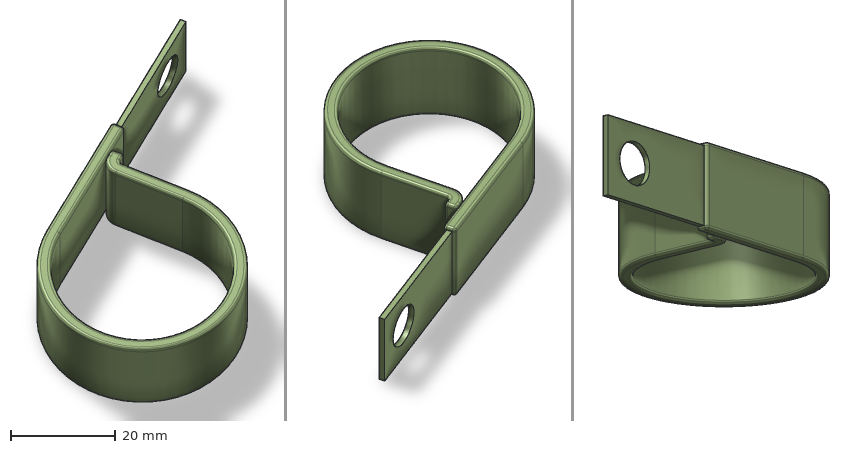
import cadquery as cq

strap_thickness = 1.2
strap_width = 16.0
overall_length = 76.57
hole_diameter = 8.7
hole_center_to_tab_end = 7.9

cushion_wall = 0.75
cushion_thickness = strap_thickness + 2 * cushion_wall
cushion_width = 17.4
cushion_edge_radius = 0.7

loop_outer_radius = 20.23
loop_inner_radius = loop_outer_radius - cushion_thickness
loop_middle_radius = (loop_outer_radius + loop_inner_radius) / 2

leg_length = 28.2
tab_end_y = overall_length - loop_outer_radius

hook_back_x = -loop_inner_radius
hook_front_x = hook_back_x + cushion_thickness
hook_outer_radius = 3.2
hook_inner_radius = hook_outer_radius - cushion_thickness
hook_center_x = hook_back_x + hook_outer_radius
hook_center_y = loop_inner_radius + hook_outer_radius
hook_end_y = 22.4

joint_edges = cq.selectors.BoxSelector(
    (-loop_outer_radius - cushion_wall, -cushion_wall, -cushion_width),
    (-loop_inner_radius + cushion_wall, cushion_wall, cushion_width),
)
free_edges = cq.selectors.InverseSelector(joint_edges)


def round_cushion(piece):
    """Round the side edges and the +Y end, leaving the joint face sharp."""
    return piece.faces("|Z or >Y").edges(free_edges).fillet(cushion_edge_radius)


def make_leg():
    """Straight cushioned leg from the loop to the bare tab."""
    leg = cq.Workplane("XY").box(cushion_thickness, leg_length, cushion_width)
    return round_cushion(leg.translate((-loop_middle_radius, leg_length / 2, 0)))


def make_loop():
    """Three-quarter loop, straight run tangent to it and upturned hook."""
    loop = (
        cq.Workplane("XY")
        .workplane(offset=-cushion_width / 2)
        .moveTo(-loop_outer_radius, 0)
        .threePointArc((0, -loop_outer_radius), (loop_outer_radius, 0))
        .radiusArc((0, loop_outer_radius), -loop_outer_radius)
        .lineTo(hook_center_x, loop_outer_radius)
        .radiusArc((hook_front_x, hook_center_y), hook_inner_radius)
        .lineTo(hook_front_x, hook_end_y)
        .lineTo(hook_back_x, hook_end_y)
        .lineTo(hook_back_x, hook_center_y)
        .radiusArc((hook_center_x, loop_inner_radius), -hook_outer_radius)
        .lineTo(0, loop_inner_radius)
        .radiusArc((loop_inner_radius, 0), loop_inner_radius)
        .threePointArc((0, -loop_inner_radius), (-loop_inner_radius, 0))
        .close()
        .extrude(cushion_width)
    )
    return round_cushion(loop)


def make_tab():
    """Bare strap with its mounting hole, running inside the leg up to the loop."""
    tab = cq.Workplane("XY").box(strap_thickness, tab_end_y, strap_width)
    tab = tab.translate((-loop_middle_radius, tab_end_y / 2, 0))
    hole = (
        cq.Workplane("YZ")
        .center(tab_end_y - hole_center_to_tab_end, 0)
        .circle(hole_diameter / 2)
        .extrude(-loop_outer_radius)
    )
    return tab.cut(hole)


result = make_leg().union(make_loop()).union(make_tab())